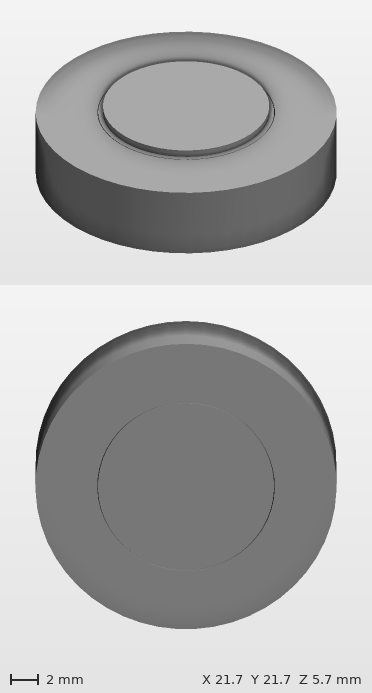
import cadquery as cq

RING_DIAMETER = 21.7
RING_HEIGHT = 5.16
BORE_DIAMETER = 12.8

TOTAL_HEIGHT = 5.7
PLUG_DIAMETER = 12.7
BOSS_DIAMETER = 12.0
SHOULDER_HEIGHT = RING_HEIGHT


def make_ring():
    """Plain ring with a through bore, standing on Z = 0."""
    return (
        cq.Workplane("XY")
        .circle(RING_DIAMETER / 2)
        .circle(BORE_DIAMETER / 2)
        .extrude(RING_HEIGHT)
    )


def make_plug():
    """Round plug with a narrower boss that rises above the ring."""
    body = cq.Workplane("XY").circle(PLUG_DIAMETER / 2).extrude(SHOULDER_HEIGHT)
    boss = (
        cq.Workplane("XY")
        .workplane(offset=SHOULDER_HEIGHT)
        .circle(BOSS_DIAMETER / 2)
        .extrude(TOTAL_HEIGHT - SHOULDER_HEIGHT)
    )
    return body.union(boss)


ring = make_ring()
plug = make_plug()

result = cq.Compound.makeCompound([ring.val(), plug.val()])